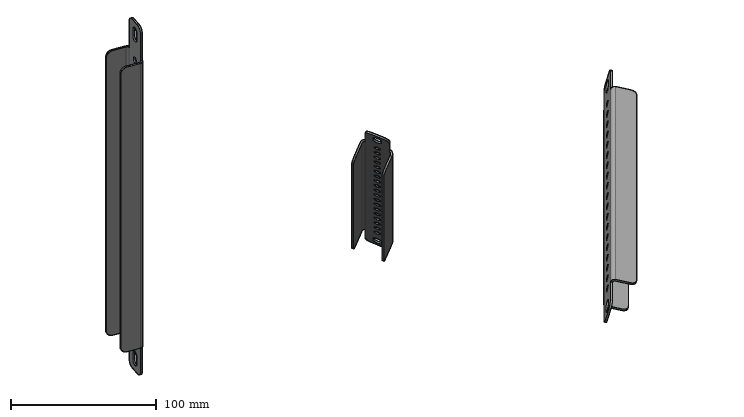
import cadquery as cq

length = 288.3
channel_width = 24.0
channel_depth = 18.0
sheet = 1.5

bend_outer_radius = 3.0
bend_inner_radius = bend_outer_radius - sheet
web_width = channel_width - 2 * bend_outer_radius
web_corner_radius = 5.0

flange_length = 235.3
flange_corner_radius = 4.5

hole_count = 19
hole_row_length = 225.2
hole_pitch = hole_row_length / (hole_count - 1)
hole_diameter = 4.5
slot_length = 11.2
slot_width = 6.0
slot_spacing = 267.5

back_y = channel_depth / 2


def channel():
    """U-shaped section with rounded bends and rounded free flange corners."""
    outer = (
        cq.Workplane("XY")
        .box(channel_width, channel_depth, flange_length)
        .edges("|Z and >Y")
        .fillet(bend_outer_radius)
    )
    inner = (
        cq.Workplane("XY")
        .box(channel_width - 2 * sheet, channel_depth, flange_length)
        .edges("|Z and >Y")
        .fillet(bend_inner_radius)
        .translate((0, -sheet, 0))
    )
    bent = outer.cut(inner)
    profile = (
        cq.Workplane("YZ")
        .rect(channel_depth, flange_length)
        .extrude(channel_width / 2, both=True)
        .edges("|X and <Y")
        .fillet(flange_corner_radius)
    )
    return bent.intersect(profile)


def web():
    """Flat strip with rounded corners at both ends."""
    strip = cq.Workplane("XY").box(web_width, sheet, length)
    strip = strip.edges("|Y").fillet(web_corner_radius)
    return strip.translate((0, back_y - sheet / 2, 0))


def web_cutters():
    """Round holes and end slots, as solids passing through the web."""
    plane = cq.Workplane("XZ", origin=(0, back_y, 0))
    holes = plane.rarray(3, hole_pitch, 1, hole_count).circle(hole_diameter / 2).extrude(sheet)
    slots = plane.rarray(3, slot_spacing, 1, 2).slot2D(slot_length, slot_width, 90).extrude(sheet)
    return holes.union(slots)


result = channel().union(web()).cut(web_cutters())